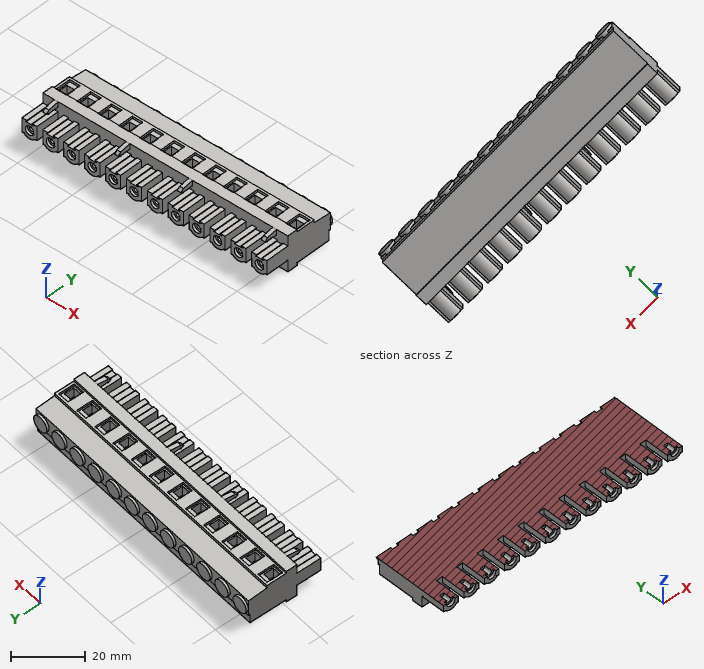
import cadquery as cq

body_length = 89.3
pole_count = 12
plug_width = 5.5
pole_pitch = (body_length - plug_width) / (pole_count - 1)
pole_x = [(i - (pole_count - 1) / 2) * pole_pitch for i in range(pole_count)]

total_height = 12.6
flange_depth = 3.75
body_bottom = 0.9
deck_top = 11.8
deck_back = 10.5
slope_high = 10.8
slope_low = 10.3
body_back = 17.1
lower_back = 16.5
lower_top = 4.3

back_end = 17.9
collar_radius = plug_width / 2
collar_z = 6.9

plug_length = 8.4
plug_top = 9.1
plug_side_bottom = 4.1
plug_round_radius = 2.9
contact_z = 6.1
groove_width = 2.0
groove_floor_width = 2.9
groove_depth = 0.6
groove_lip = 0.3
socket_radius = 1.5
socket_depth = 0.9
contact_hole_radius = 0.76
contact_hole_depth = 3.6

opening_width = 3.75
opening_front = 4.3
opening_length = 5.45
opening_depth = 0.8
well_width = 2.9
well_front = 4.8
well_length = 3.3
well_depth = 4.5

latch_width = 1.4
end_latch_shift = (plug_width - latch_width) / 2
inner_latch_shift = 2.2
latch_places = [
    (0, end_latch_shift),
    (4, -inner_latch_shift),
    (7, -inner_latch_shift),
    (pole_count - 1, -end_latch_shift),
]
latch_root_bottom = 10.7
latch_bend_y = -3.7
latch_bend_top = 12.0
latch_tip_y = -4.6
latch_tip_z = 11.1
latch_barb_bottom = 10.45


def box(x_center, width, y_front, length, z_bottom, height):
    """Block centred on x_center, extending back from y_front and up from z_bottom."""
    block = cq.Workplane("XY").box(width, length, height, centered=(True, False, False))
    return block.translate((x_center, y_front, z_bottom))


def rod(x_center, z_center, radius, y_front, length):
    """Cylinder along Y starting at y_front."""
    cylinder = cq.Workplane("XZ").circle(radius).extrude(-length)
    return cylinder.translate((x_center, y_front, z_center))


def make_housing():
    outline = [
        (0, 0),
        (flange_depth, 0),
        (flange_depth, body_bottom),
        (lower_back, body_bottom),
        (lower_back, lower_top),
        (body_back, lower_top),
        (body_back, slope_low),
        (deck_back, slope_high),
        (deck_back, deck_top),
        (flange_depth, deck_top),
        (flange_depth, total_height),
        (0, total_height),
    ]
    return cq.Workplane("YZ").polyline(outline).close().extrude(body_length / 2, both=True)


def make_collar(x):
    return rod(x, collar_z, collar_radius, lower_back, back_end - lower_back)


def make_plug(x):
    """Square-shouldered plug with a rounded underside, a grooved top and a stepped contact hole."""
    block = box(x, plug_width, -plug_length, plug_length, plug_side_bottom, plug_top - plug_side_bottom)
    round_underside = rod(x, contact_z, plug_round_radius, -plug_length, plug_length)
    lower_half = box(x, plug_width, -plug_length, plug_length, 0, contact_z)
    plug = block.union(round_underside.intersect(lower_half))
    groove_floor = plug_top - groove_depth
    lip_bottom = plug_top - groove_lip
    groove_outline = [
        (x - groove_width / 2, plug_top),
        (x - groove_width / 2, lip_bottom),
        (x - groove_floor_width / 2, groove_floor),
        (x + groove_floor_width / 2, groove_floor),
        (x + groove_width / 2, lip_bottom),
        (x + groove_width / 2, plug_top),
    ]
    groove = cq.Workplane("XZ").polyline(groove_outline).close().extrude(plug_length)
    socket = rod(x, contact_z, socket_radius, -plug_length, socket_depth)
    contact_hole = rod(x, contact_z, contact_hole_radius, -plug_length, contact_hole_depth)
    return plug.cut(groove).cut(socket).cut(contact_hole)


def make_opening(x):
    mouth = box(x, opening_width, opening_front, opening_length, deck_top - opening_depth, opening_depth)
    well = box(x, well_width, well_front, well_length, deck_top - well_depth, well_depth)
    return mouth.union(well)


def make_latch(pole, shift):
    outline = [
        (0, latch_root_bottom),
        (latch_bend_y, latch_root_bottom),
        (latch_bend_y, latch_barb_bottom),
        (latch_tip_y, latch_tip_z),
        (latch_bend_y, latch_bend_top),
        (0, total_height),
    ]
    x = pole_x[pole] + shift
    latch = cq.Workplane("YZ").polyline(outline).close().extrude(latch_width / 2, both=True)
    return latch.translate((x, 0, 0))


result = make_housing()
for x in pole_x:
    result = result.union(make_collar(x))
    result = result.union(make_plug(x))
    result = result.cut(make_opening(x))
for pole, shift in latch_places:
    result = result.union(make_latch(pole, shift))